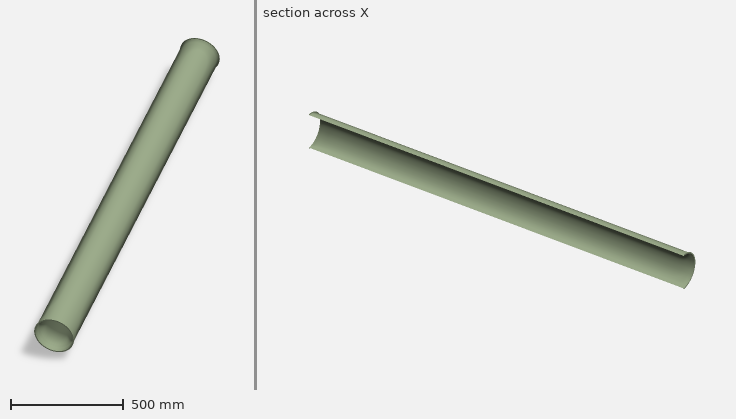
import cadquery as cq

length = 1988.0
bore_diameter = 174.0
wall_thickness = 2.0
lip_height = 4.0
lip_thickness = wall_thickness

tube_diameter = bore_diameter + 2 * wall_thickness
lip_diameter = tube_diameter + 2 * lip_height
half_length = length / 2


def ring(outer_diameter, start_y, thickness):
    """Ring around the Y axis, from start_y toward +Y, with the common bore."""
    return (
        cq.Workplane("XZ", origin=(0, start_y, 0))
        .circle(outer_diameter / 2)
        .circle(bore_diameter / 2)
        .extrude(-thickness)
    )


result = ring(tube_diameter, -half_length, length)

for lip_start in (-half_length, half_length - lip_thickness):
    result = result.union(ring(lip_diameter, lip_start, lip_thickness))